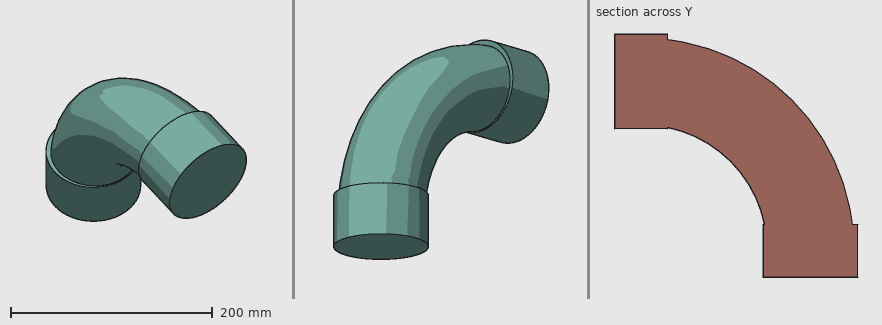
import cadquery as cq

overall_size = 241.0
collar_diameter = 94.0
collar_length = 52.5
pipe_diameter = 86.3
bend_start = 27.7

axis_offset = overall_size - collar_diameter / 2
bend_radius = axis_offset - bend_start


def collar(end_plane):
    """Cylinder running inward from the end face of the elbow."""
    return cq.Workplane(end_plane).circle(collar_diameter / 2).extrude(collar_length)


def bend():
    """Quarter-circle pipe that starts and finishes inside the collars."""
    return (
        cq.Workplane("XY", origin=(0, 0, bend_start))
        .circle(pipe_diameter / 2)
        .revolve(90, (bend_radius, 0, 0), (bend_radius, 1, 0))
    )


lower_end = cq.Plane(origin=(0, 0, 0), xDir=(1, 0, 0), normal=(0, 0, 1))
upper_end = cq.Plane(origin=(axis_offset, 0, axis_offset), xDir=(0, 0, 1), normal=(-1, 0, 0))

result = bend().union(collar(lower_end)).union(collar(upper_end))